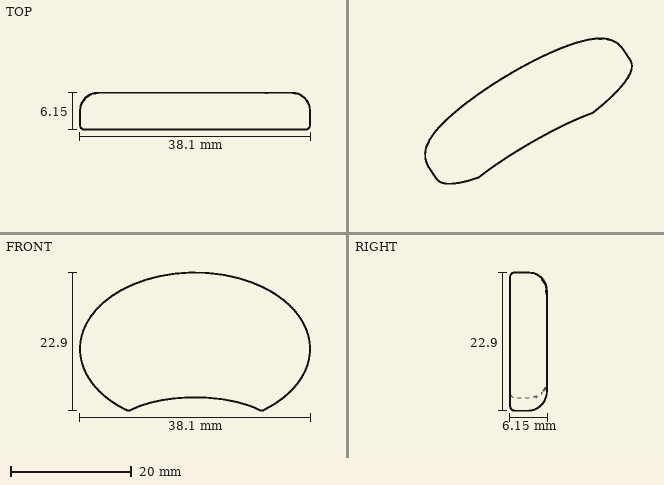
import cadquery as cq
import math

half_width = 19.05
half_height = 12.65
thickness = 6.15

corner_x = 11.0
bite_half_width = 13.7
bite_top_z = -8.05

corner_radius = 0.6
front_radius = 0.75
back_radius = 3.0

corner_angle = math.degrees(math.acos(corner_x / half_width))
corner_z = -half_height * math.sin(math.radians(corner_angle))
bite_corner_angle = math.degrees(math.acos(corner_x / bite_half_width))
bite_half_height = (bite_top_z - corner_z) / (1 - math.sin(math.radians(bite_corner_angle)))

body = (
    cq.Workplane("XZ")
    .moveTo(corner_x, corner_z)
    .ellipseArc(half_width, half_height, -corner_angle, 180 + corner_angle, startAtCurrent=True)
    .ellipseArc(
        bite_half_width,
        bite_half_height,
        bite_corner_angle,
        180 - bite_corner_angle,
        sense=-1,
        startAtCurrent=True,
    )
    .close()
    .extrude(-thickness)
)
body = body.edges("|Y").fillet(corner_radius)

body = body.faces("<Y").edges().fillet(front_radius)
result = body.faces(">Y").edges().fillet(back_radius)